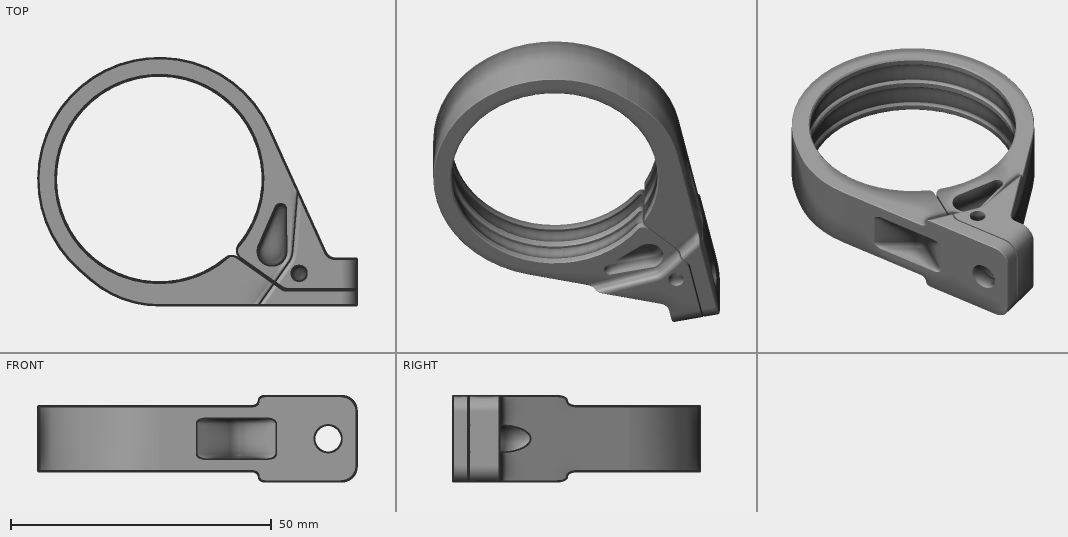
import cadquery as cq
import math

ring_height = 12.65
ring_radius = 23.25
bore_radius = 19.75
ear_height = 16.5
ear_end_x = 37.9
ear_top_y = -15.2
flat_y = -24.28
lobe_radius = 20.1
flank_angle = 24.4
ear_root_radius = 2.0
ear_corner_radius = 3.0
edge_chamfer = 0.15

lip_height = 1.5
rib_height = 1.5
groove_depth = 0.7
bore_chamfer = 0.25

step_start = (19.14, -24.0)
step_bend = (25.45, -15.04)
step_end = (26.4, -3.58)
step_bend_radius = 4.0
step_fillet = 0.962

slit_width = 0.3
slit_y = -21.2
slit_bend_x = 23.9
slit_angle = 35.2
slit_bend_radius = 1.5
slit_mouth_radius = 1.8

screw_diameter = 5.2
screw_x = 32.36

notch_left_x = 7.17
notch_right_x = 22.4
notch_wall_angle = 35.2
notch_height = 7.8
notch_apex_radius = 2.0
notch_fillet = 1.0

teardrop_big_center = (21.6, -13.85)
teardrop_big_radius = 2.8
teardrop_small_center = (23.25, -5.85)
teardrop_small_radius = 1.1
teardrop_depth = 4.0
pin_center = (26.8, -18.07)
pin_radius = 1.5
pin_depth = 4.0
floor_fillet = 0.98

margin = 30.0


def polar(radius, angle, center=(0, 0)):
    """Point at a radius and an angle in degrees from a center."""
    a = math.radians(angle)
    return (center[0] + radius * math.cos(a), center[1] + radius * math.sin(a))


def make_outline():
    """Outer silhouette as a prism of full ear height."""
    lobe_center = (0, flat_y + lobe_radius)
    sine = (ring_radius - lobe_radius) / -lobe_center[1]
    tangent_angle = 180 + math.degrees(math.asin(sine))
    flank = math.radians(flank_angle)
    corner_x = (ring_radius - ear_top_y * math.sin(flank)) / math.cos(flank)
    mid_ring_angle = (flank_angle + tangent_angle) / 2
    mid_lobe_angle = (tangent_angle + 270) / 2
    prism = (
        cq.Workplane("XY").workplane(offset=-ear_height / 2)
        .moveTo(0, flat_y)
        .lineTo(ear_end_x, flat_y)
        .lineTo(ear_end_x, ear_top_y)
        .lineTo(corner_x, ear_top_y)
        .lineTo(*polar(ring_radius, flank_angle))
        .threePointArc(polar(ring_radius, mid_ring_angle), polar(ring_radius, tangent_angle))
        .lineTo(*polar(lobe_radius, tangent_angle, lobe_center))
        .threePointArc(polar(lobe_radius, mid_lobe_angle, lobe_center), (0, flat_y))
        .close()
        .extrude(ear_height)
    )
    prism = prism.edges(cq.NearestToPointSelector((corner_x, ear_top_y, 0))).fillet(ear_root_radius)
    return prism.edges("|Y and >X").fillet(ear_corner_radius)


def extend(start, end, length):
    """Point a given length past the end of a line."""
    dx = end[0] - start[0]
    dy = end[1] - start[1]
    scale = length / math.hypot(dx, dy)
    return (end[0] + dx * scale, end[1] + dy * scale)


def make_stepped_slab():
    """Slab that steps from ring height up to ear height along a bent line."""
    low_end = extend(step_bend, step_start, margin)
    high_end = extend(step_bend, step_end, margin)
    far_x = ear_end_x + margin
    raised = (
        cq.Workplane("XY").workplane(offset=-ear_height / 2)
        .polyline([low_end, step_bend, high_end, (far_x, high_end[1]), (far_x, low_end[1])])
        .close()
        .extrude(ear_height)
    )
    raised = raised.edges(cq.NearestToPointSelector((*step_bend, 0))).fillet(step_bend_radius)
    span = 4 * (ring_radius + margin)
    slab = raised.union(cq.Workplane("XY").box(span, span, ring_height))
    for level in (ear_height / 2, -ear_height / 2, ring_height / 2, -ring_height / 2):
        slab = slab.edges(cq.NearestToPointSelector((*step_bend, level))).fillet(step_fillet)
    return slab


def make_slit():
    """Bent clamping slit, from the bore to the end of the ear."""
    half = slit_width / 2
    run = slit_bend_x - bore_radius / 2
    rise = math.tan(math.radians(slit_angle))
    shift = half * math.tan(math.radians(slit_angle / 2))
    end_x = ear_end_x + margin
    lower = (slit_bend_x - shift, slit_y - half)
    upper = (slit_bend_x + shift, slit_y + half)
    slit = (
        cq.Workplane("XY").workplane(offset=-ear_height)
        .moveTo(end_x, lower[1])
        .lineTo(*lower)
        .lineTo(lower[0] - run, lower[1] + run * rise)
        .lineTo(upper[0] - run, upper[1] + run * rise)
        .lineTo(*upper)
        .lineTo(end_x, upper[1])
        .close()
        .extrude(2 * ear_height)
    )
    slit = slit.edges(cq.NearestToPointSelector((*lower, 0))).fillet(slit_bend_radius)
    return slit.edges(cq.NearestToPointSelector((*upper, 0))).fillet(slit_bend_radius + slit_width)


def slit_mouth(side):
    """Corner where one edge of the slit meets the bore (side +1 upper, -1 lower)."""
    angle = math.radians(slit_angle)
    normal = (math.sin(angle), math.cos(angle))
    offset = slit_bend_x * normal[0] + slit_y * normal[1] + side * slit_width / 2
    along = math.sqrt(bore_radius ** 2 - offset ** 2)
    return (offset * normal[0] + along * normal[1], offset * normal[1] - along * normal[0])


def make_bore_cutter():
    """Revolved bore with two grooves, every rim chamfered."""
    groove_radius = bore_radius + groove_depth
    rim_radius = bore_radius + bore_chamfer
    half = ring_height / 2
    groove_top = half - lip_height
    groove_bottom = rib_height / 2
    upper_profile = [
        (rim_radius, half),
        (bore_radius, half - bore_chamfer),
        (bore_radius, groove_top + bore_chamfer),
        (rim_radius, groove_top),
        (groove_radius, groove_top),
        (groove_radius, groove_bottom),
        (rim_radius, groove_bottom),
        (bore_radius, groove_bottom - bore_chamfer),
    ]
    lower_profile = [(radius, -z) for radius, z in reversed(upper_profile)]
    profile = [(0, half)] + upper_profile + lower_profile + [(0, -half)]
    return cq.Workplane("XZ").polyline(profile).close().revolve(360, (0, 0), (0, 1))


def make_notch():
    """Triangular pocket with a rounded apex and rounded floor and ceiling edges."""
    rise = math.tan(math.radians(notch_wall_angle))
    mid_x = (notch_left_x + notch_right_x) / 2
    half = (notch_right_x - notch_left_x) / 2
    over = notch_apex_radius
    base_y = flat_y - over * rise
    apex = (mid_x, flat_y + half * rise)
    notch = (
        cq.Workplane("XY").workplane(offset=-notch_height / 2)
        .polyline([(notch_left_x - over, base_y), apex, (notch_right_x + over, base_y)])
        .close()
        .extrude(notch_height)
    )
    notch = notch.edges(cq.NearestToPointSelector((*apex, 0))).fillet(notch_apex_radius)
    wall_x = mid_x - half / 2
    wall_y = flat_y + half * rise / 2
    for level in (notch_height / 2, -notch_height / 2):
        notch = notch.edges(cq.NearestToPointSelector((wall_x, wall_y, level))).fillet(notch_fillet)
    return notch


def make_teardrop():
    """Pocket bounded by two circles and their common tangents."""
    dx = teardrop_small_center[0] - teardrop_big_center[0]
    dy = teardrop_small_center[1] - teardrop_big_center[1]
    axis = math.degrees(math.atan2(dy, dx))
    spread = math.degrees(math.acos((teardrop_big_radius - teardrop_small_radius) / math.hypot(dx, dy)))
    big = [polar(teardrop_big_radius, axis + a, teardrop_big_center) for a in (spread, 180, -spread)]
    small = [polar(teardrop_small_radius, axis + a, teardrop_small_center) for a in (-spread, 0, spread)]
    return (
        cq.Workplane("XY").workplane(offset=ring_height / 2 - teardrop_depth)
        .moveTo(*big[0])
        .threePointArc(big[1], big[2])
        .lineTo(*small[0])
        .threePointArc(small[1], small[2])
        .close()
        .extrude(margin)
        .faces("<Z").edges().fillet(floor_fillet)
    )


def make_pin_hole():
    """Round blind hole with a rounded floor."""
    return (
        cq.Workplane("XY").workplane(offset=ear_height / 2 - pin_depth)
        .center(*pin_center)
        .circle(pin_radius)
        .extrude(margin)
        .faces("<Z").edges().fillet(floor_fillet)
    )


def make_screw_hole():
    """Through hole along Y that crosses the slit."""
    return (
        cq.Workplane("XZ").center(screw_x, 0)
        .circle(screw_diameter / 2)
        .extrude(margin + ring_radius, both=True)
    )


body = make_outline().intersect(make_stepped_slab())
body = body.faces("<Y").edges().chamfer(edge_chamfer)
body = body.cut(make_slit())
body = body.cut(cq.Workplane("XY").circle(bore_radius).extrude(margin, both=True))
for side in (1, -1):
    body = body.edges(cq.NearestToPointSelector((*slit_mouth(side), 0))).fillet(slit_mouth_radius)

body = body.cut(make_bore_cutter())

body = body.cut(make_notch()).cut(make_screw_hole())
for cutter in (make_teardrop(), make_pin_hole()):
    body = body.cut(cutter).cut(cutter.mirror("XY"))

result = body